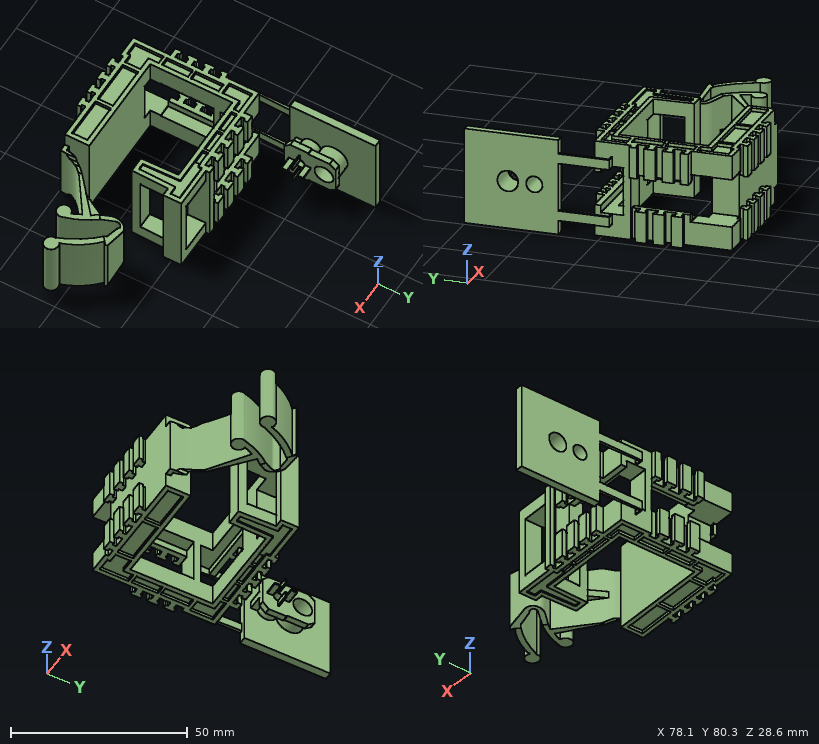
import cadquery as cq
import math

half_height = 14.3
slot_half = 5.0
opening_half = 7.15
left_opening_half = 7.4
gate_half = 9.8
clip_half = 9.55

left_corner_x = 2.8
left_x = 4.0
left_skin_x = 5.8
inner_left_x = 9.8

corner_front_y = 1.5
corner_front_end = 11.3
front_y = 2.5
inner_front_y = 10.6
front_end_x = 43.7
front_opening_end = 12.8

inner_back_y = 37.5
back_skin_y = 40.4
back_y = 42.3
back_step_x = 34.6
thick_back_y = 43.5
back_end_x = 48.15
back_opening_end = 26.65

arm_root_left, arm_root_right = 39.65, 45.4
arm_tip_left, arm_tip_right = 40.0, 45.1
arm_tip_y = 25.4
arm_tip_post_y = 28.25

post_back_y = 33.6
post_front_y = 31.4

tooth_pitch = 5.45
tooth_head_width = 3.4
tooth_neck_width = 2.0
tooth_height = 2.5
tooth_head_height = 1.4
left_tooth_height = 2.7
left_teeth_low, left_teeth_high = 13.7, post_front_y
skin_low_y = 14.05
back_teeth_start = 11.15
last_back_tooth_start = 39.0

rim = 1.5
pocket_depth = 1.05
end_pocket_depth = 0.5
back_corner_pocket_x, back_corner_pocket_y = 11.6, 33.3
front_corner_pocket_y = 12.45
end_pocket_x = 33.1
end_pocket_step = 0.3
back_pocket_spans = ((12.8, 19.75), (20.6, 27.9), (28.7, end_pocket_x))
left_pocket_spans = ((13.5, 22.1), (22.95, 32.1))
front_pocket_spans = ((14.0, 27.9), (29.05, front_end_x - rim))

plate_thickness = 2.6
plate_low_y, plate_high_y = 52.1, 80.3
strap_high_z = 10.1
strap_root_thickness, strap_tip_thickness = 1.05, 0.65
strap_tip_y = 36.9
strap_foot = 0.3

hole_y, hole_radius = 67.25, 3.09
small_hole_y = 59.3
small_hole_entry_radius, small_hole_radius = 2.4, 1.6
boss_y, boss_radius = 66.7, 4.4
small_boss_radius = 3.2
flange_x, flange_thickness = 7.3, 1.9
flange_low_y, flange_high_y = 54.2, 71.1
flange_half, flange_edge_half = 6.4, 4.5
flange_step_y, flange_step = 62.1, 0.4
flange_bevel = 2.0
rib_half = 1.2
fin_end_x = 13.5
fin_inner_radius, fin_outer_radius = 1.7, 3.6
fin_thickness = 0.5
fin_count = 4

tab_end_x, tab_y = 46.0, 4.0
neck_half = 8.35
guide_half = 1.08
guide_root = (48.8, 10.9)
bevel_line_start = (60.2, 23.7)
bevel_line_angle = 39.6
bevel_slope = 20.0
bevel_reach = 11.2
ball_radius = 2.25
near_ball = (64.1, 14.4)
far_ball_radius = 2.3
far_ball = (75.85, 17.1)


def box(x_low, x_high, y_low, y_high, z_low, z_high):
    size = (x_high - x_low, y_high - y_low, z_high - z_low)
    return cq.Workplane("XY").box(*size, centered=False).translate((x_low, y_low, z_low))


def centred_box(x_low, x_high, y_low, y_high, half):
    return box(x_low, x_high, y_low, y_high, -half, half)


def prism(points, z_low, z_high):
    return cq.Workplane("XY", origin=(0, 0, z_low)).polyline(points).close().extrude(z_high - z_low)


def mirrored(half_body):
    return half_body.union(half_body.mirror("XY"))


def tooth_row(centres, low, high, height=tooth_height):
    """T teeth along +X on the line y = 0, pointing to +Y and trimmed to low..high."""
    row = cq.Workplane("XY")
    neck_height = height - tooth_head_height
    for centre in centres:
        for width, start, stop in (
            (tooth_neck_width, 0, neck_height),
            (tooth_head_width, neck_height, height),
        ):
            left = max(centre - width / 2, low)
            right = min(centre + width / 2, high)
            row = row.union(box(left, right, start, stop, slot_half, half_height))
    return row


def frame_blank():
    outline = [
        (left_x, corner_front_y),
        (corner_front_end, corner_front_y),
        (corner_front_end, front_y),
        (front_end_x, front_y),
        (front_end_x, inner_front_y),
        (inner_left_x, inner_front_y),
        (inner_left_x, inner_back_y),
        (arm_root_left, inner_back_y),
        (arm_tip_left, arm_tip_y),
        (arm_tip_right, arm_tip_y),
        (arm_root_right, inner_back_y),
        (back_end_x, inner_back_y),
        (back_end_x, thick_back_y),
        (back_step_x, thick_back_y),
        (back_step_x, back_y),
        (left_corner_x, back_y),
        (left_corner_x, post_front_y),
        (left_x, post_front_y),
    ]
    return prism(outline, -half_height, half_height)


def frame_openings():
    """Openings through the walls; thin outer skins reach further in towards the mid plane."""
    openings = centred_box(0, inner_left_x, post_back_y, back_skin_y, opening_half)
    for cut in (
        centred_box(0, back_opening_end, back_skin_y, back_y, slot_half),
        centred_box(inner_left_x, back_opening_end, inner_back_y, back_skin_y, opening_half),
        centred_box(left_skin_x, inner_left_x, skin_low_y, post_front_y, left_opening_half),
        centred_box(0, left_skin_x, skin_low_y, post_front_y, slot_half),
        centred_box(0, front_opening_end, 0, skin_low_y, opening_half),
        centred_box(back_step_x, arm_root_right, inner_back_y, thick_back_y, gate_half),
        centred_box(arm_root_left, arm_root_right, arm_tip_post_y, inner_back_y, gate_half),
    ):
        openings = openings.union(cut)
    return openings


def pockets():
    """Recesses of the upper face."""
    floor = half_height - pocket_depth
    wall_in = inner_left_x - rim
    low_wall_x = left_x + rim
    back_low, back_high = inner_back_y + rim, back_y - rim
    front_low, front_high = front_y + rim, inner_front_y - rim

    back_corner = [
        (left_corner_x + rim, back_corner_pocket_y),
        (wall_in, back_corner_pocket_y),
        (wall_in, back_low),
        (back_corner_pocket_x, back_low),
        (back_corner_pocket_x, back_high),
        (left_corner_x + rim, back_high),
    ]
    front_corner = [
        (low_wall_x, corner_front_y + rim),
        (inner_left_x, corner_front_y + rim),
        (inner_left_x, front_low),
        (front_opening_end, front_low),
        (front_opening_end, front_high),
        (wall_in, front_high),
        (wall_in, front_corner_pocket_y),
        (low_wall_x, front_corner_pocket_y),
    ]
    arm_end = [
        (end_pocket_x, back_low),
        (arm_root_left + rim, back_low),
        (arm_tip_left + rim, arm_tip_y + rim),
        (arm_tip_right - rim, arm_tip_y + rim),
        (arm_root_right - rim, back_low),
        (back_end_x - rim, back_low),
        (back_end_x - rim, thick_back_y - rim),
        (back_step_x - end_pocket_step, thick_back_y - rim),
        (back_step_x - end_pocket_step, back_high),
        (end_pocket_x, back_high),
    ]
    recesses = prism(back_corner, floor, half_height)
    recesses = recesses.union(prism(front_corner, floor, half_height))
    recesses = recesses.union(prism(arm_end, half_height - end_pocket_depth, half_height))
    for low, high in back_pocket_spans:
        recesses = recesses.union(box(low, high, back_low, back_high, floor, half_height))
    for low, high in left_pocket_spans:
        recesses = recesses.union(box(low_wall_x, wall_in, low, high, floor, half_height))
    for low, high in front_pocket_spans:
        recesses = recesses.union(box(low, high, front_low, front_high, floor, half_height))
    return recesses


def front_teeth():
    centres = [14.8 + i * tooth_pitch for i in range(4)]
    row = tooth_row(centres, corner_front_end, front_end_x)
    return mirrored(row.mirror("XZ").translate((0, front_y, 0)))


def back_teeth():
    """The last tooth, beside the step of the wall, runs over the full height."""
    centres = [11.95 + i * tooth_pitch for i in range(5)]
    row = mirrored(tooth_row(centres, back_teeth_start, back_step_x))
    neck_height = tooth_height - tooth_head_height
    head_left = centres[-1] - tooth_head_width / 2
    neck_left = centres[-1] - tooth_neck_width / 2
    row = row.union(centred_box(neck_left, back_step_x, 0, neck_height, slot_half))
    row = row.union(centred_box(head_left, back_step_x, neck_height, tooth_height, slot_half))
    return row.translate((0, back_y, 0))


def left_teeth():
    """The lower row is shifted by half a pitch against the upper row."""
    first = 14.4
    upper_centres = [first + i * tooth_pitch for i in range(4)]
    lower_centres = [first + (i + 0.5) * tooth_pitch for i in range(3)]
    upper = tooth_row(upper_centres, left_teeth_low, left_teeth_high, left_tooth_height)
    lower = tooth_row(lower_centres, left_teeth_low, left_teeth_high, left_tooth_height).mirror("XY")
    return upper.union(lower).rotate((0, 0, 0), (0, 0, 1), 90).translate((left_x, 0, 0))


def x_cylinder(y, radius, x_low, x_high):
    return cq.Workplane("YZ", origin=(x_low, y, 0)).circle(radius).extrude(x_high - x_low)


def straps():
    outline = [
        (0, plate_low_y),
        (strap_root_thickness, plate_low_y),
        (strap_tip_thickness, strap_tip_y + strap_foot),
        (left_corner_x, strap_tip_y + strap_foot),
        (left_corner_x, strap_tip_y),
        (0, strap_tip_y),
    ]
    return mirrored(prism(outline, opening_half, strap_high_z))


def socket():
    flange_end_x = flange_x + flange_thickness
    upper_edge = [
        (flange_low_y, flange_edge_half),
        (flange_low_y + flange_bevel, flange_half),
        (flange_step_y, flange_half),
        (flange_step_y, flange_half - flange_step),
        (flange_high_y - flange_bevel, flange_half - flange_step),
        (flange_high_y, flange_edge_half),
    ]
    outline = upper_edge + [(y, -z) for y, z in reversed(upper_edge)]
    body = cq.Workplane("YZ", origin=(flange_x, 0, 0)).polyline(outline).close().extrude(flange_thickness)
    body = body.union(x_cylinder(boss_y, boss_radius, plate_thickness, flange_x))
    body = body.union(x_cylinder(small_hole_y, small_boss_radius, plate_thickness, flange_x))
    body = body.union(centred_box(plate_thickness, flange_x, flange_low_y, small_hole_y, rib_half))
    fin = centred_box(
        flange_end_x, fin_end_x, fin_inner_radius, fin_outer_radius, fin_thickness / 2
    )
    for i in range(fin_count):
        turned = fin.rotate((0, 0, 0), (1, 0, 0), 360 / fin_count * i)
        body = body.union(turned.translate((0, small_hole_y, 0)))
    return body


def mounting_plate():
    flange_end_x = flange_x + flange_thickness
    body = centred_box(0, plate_thickness, plate_low_y, plate_high_y, half_height)
    body = body.union(socket()).union(straps())
    body = body.cut(x_cylinder(hole_y, hole_radius, 0, flange_end_x))
    taper = math.degrees(math.atan((small_hole_entry_radius - small_hole_radius) / flange_end_x))
    small_hole = (
        cq.Workplane("YZ", origin=(0, small_hole_y, 0))
        .circle(small_hole_entry_radius)
        .extrude(flange_end_x, taper=taper)
    )
    return body.cut(small_hole)


def hinge_and_lever():
    outline = (
        cq.Workplane("XY", origin=(0, 0, -clip_half))
        .moveTo(front_end_x, front_y)
        .lineTo(tab_end_x, front_y)
        .lineTo(46.15, tab_y)
        .threePointArc((47.3, 7.55), (49.7, 10.35))
        .lineTo(51.2, 11.7)
        .lineTo(62.5, 19.5)
        .lineTo(61.6, 21.75)
        .lineTo(*guide_root)
        .threePointArc((46.15, 7.7), (45.0, tab_y))
        .lineTo(front_end_x, tab_y)
        .close()
        .extrude(2 * clip_half)
    )
    notch = [(46.15, clip_half), (46.5, neck_half), (47.5, neck_half), (50.25, clip_half)]
    side_cut = cq.Workplane("XZ").polyline(notch).close().extrude(-inner_back_y)
    return outline.cut(mirrored(side_cut))


def guide():
    return prism([guide_root, (55.6, 23.0), (59.4, 19.3)], -guide_half, guide_half)


def bend_bevel():
    """Wedges that lower both ends of the bend, ever more away from the bevel line."""
    drop = bevel_reach * math.tan(math.radians(bevel_slope))
    wedge = (
        cq.Workplane("YZ")
        .polyline([(0, clip_half), (bevel_reach, clip_half), (bevel_reach, clip_half - drop)])
        .close()
        .extrude(2 * bevel_reach)
        .translate((-bevel_reach / 2, 0, 0))
        .rotate((0, 0, 0), (0, 0, 1), bevel_line_angle)
        .translate((*bevel_line_start, 0))
    )
    return mirrored(wedge)


def gripper():
    profile = (
        cq.Workplane("XY", origin=(0, 0, -clip_half))
        .moveTo(63.8, 16.7)
        .threePointArc((63.25, 18.2), (62.5, 19.5))
        .lineTo(61.6, 21.75)
        .lineTo(58.0, 26.4)
        .threePointArc((58.0, 30.2), (60.8, 31.7))
        .lineTo(68.2, 31.2)
        .lineTo(68.95, 30.4)
        .lineTo(67.7, 29.8)
        .threePointArc((71.7, 25.3), (74.65, 19.3))
        .lineTo(73.75, 16.7)
        .threePointArc((71.3, 22.1), (68.2, 26.6))
        .lineTo(65.6, 29.4)
        .lineTo(60.75, 29.9)
        .threePointArc((58.75, 29.4), (58.9, 28.25))
        .lineTo(61.6, 24.6)
        .threePointArc((64.05, 20.9), (66.0, 16.0))
        .lineTo(near_ball[0] + ball_radius, near_ball[1])
        .lineTo(near_ball[0], near_ball[1])
        .close()
        .extrude(2 * clip_half)
    )
    for centre, radius in ((near_ball, ball_radius), (far_ball, far_ball_radius)):
        ball = cq.Workplane("XY", origin=(0, 0, -clip_half)).center(*centre).circle(radius)
        profile = profile.union(ball.extrude(2 * clip_half))
    return profile.cut(bend_bevel())


frame = frame_blank().cut(frame_openings()).cut(mirrored(pockets()))
frame = frame.union(front_teeth()).union(back_teeth()).union(left_teeth())
clip = hinge_and_lever().union(gripper()).union(guide())
result = frame.union(mounting_plate()).union(clip)